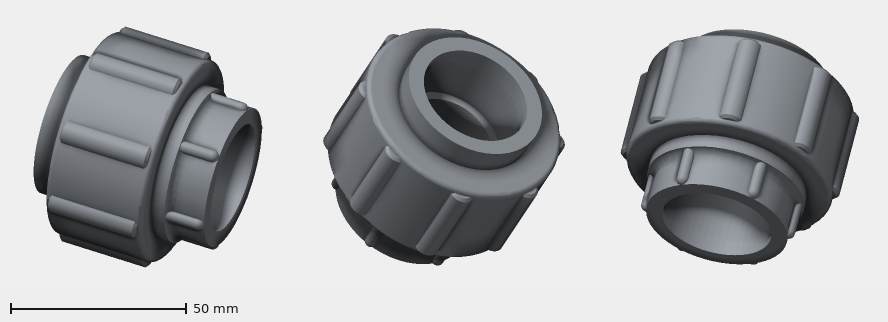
import cadquery as cq

overall_length = 53.0
spigot_radius = 20.65
socket_radius = 16.0
socket_depth = 20.0
bore_radius = 13.55

nut_start = 7.7
nut_end = 37.7
nut_radius = 30.1
nut_edge_fillet = 1.4

collar_end = 41.65
collar_radius = 22.95
neck_fillet = 2.25

grip_count = 8
grip_tip_radius = 32.0
grip_rib_radius = 3.7
grip_chamfer = 0.75
grip_start = nut_start + nut_edge_fillet
grip_end = nut_end - nut_edge_fillet

tail_rib_count = 6
tail_rib_radius = 1.8
tail_rib_tip_radius = 22.45


def cylinder(start, end, radius, y=0.0):
    """Cylinder parallel to X, offset sideways along Y."""
    return cq.Workplane("YZ", origin=(start, y, 0)).circle(radius).extrude(end - start)


def add_ring(body, rib, count):
    """Join equally spaced copies of a rib around the X axis."""
    for index in range(count):
        angle = index * 360 / count
        body = body.union(rib.rotate((0, 0, 0), (1, 0, 0), angle))
    return body


def make_neck():
    """Tail with a concave fillet against the collar face."""
    fillet_top = spigot_radius + neck_fillet
    fillet_end = collar_end + neck_fillet
    return (
        cq.Workplane("XY")
        .moveTo(nut_end, 0)
        .lineTo(nut_end, fillet_top)
        .lineTo(collar_end, fillet_top)
        .radiusArc((fillet_end, spigot_radius), -neck_fillet)
        .lineTo(overall_length, spigot_radius)
        .lineTo(overall_length, 0)
        .close()
        .revolve(360, (0, 0, 0), (1, 0, 0))
    )


def make_grip_rib():
    """Round grip rib with chamfered ends."""
    center = grip_tip_radius - grip_rib_radius
    return cylinder(grip_start, grip_end, grip_rib_radius, center).edges().chamfer(grip_chamfer)


def make_tail_rib():
    """Round tail rib with a domed free end."""
    center = tail_rib_tip_radius - tail_rib_radius
    dome_start = overall_length - tail_rib_radius
    dome = cq.Workplane("XY").sphere(tail_rib_radius).translate((dome_start, center, 0))
    return cylinder(collar_end, dome_start, tail_rib_radius, center).union(dome)


nut = cylinder(nut_start, nut_end, nut_radius).edges().fillet(nut_edge_fillet)
body = cylinder(0, nut_end, spigot_radius).union(nut)
body = body.union(cylinder(nut_end, collar_end, collar_radius))
body = body.union(make_neck())

body = add_ring(body, make_grip_rib(), grip_count)
body = add_ring(body, make_tail_rib(), tail_rib_count)

body = body.cut(cylinder(0, overall_length, bore_radius))
body = body.cut(cylinder(0, socket_depth, socket_radius))
result = body.cut(cylinder(overall_length - socket_depth, overall_length, socket_radius))